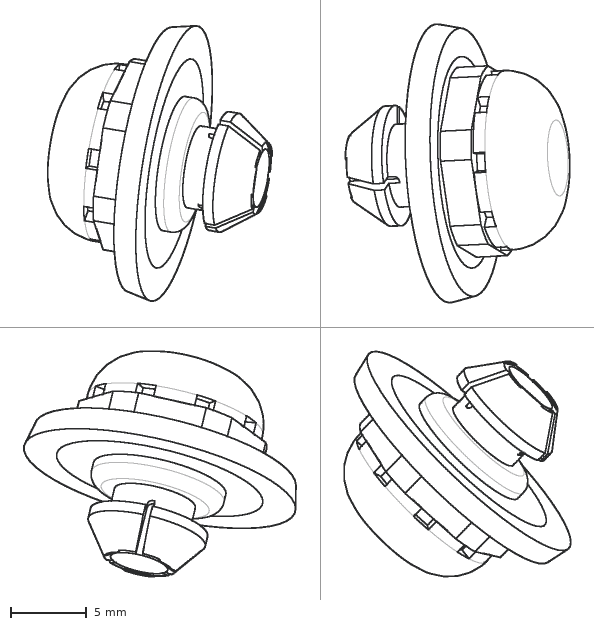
import cadquery as cq
import math


DOME_RIM_X = 3.32
HEX_FRONT_X = 4.11
FLANGE_FRONT_X = 6.24
FLANGE_BACK_X = 7.85
BOSS_END_X = 9.22
SNAP_SHOULDER_X = 10.95
SNAP_CONE_X = 11.65
TIP_X = 13.93

CAP_DIAMETER = 11.88
DOME_FLAT_DIAMETER = 5.02
CAP_CORE_DIAMETER = 10.15
STEM_DIAMETER = 3.9
NOTCH_COUNT = 9
NOTCH_ANGLE = 12.8
FIRST_NOTCH_ANGLE = -91.0

HEX_ACROSS_FLATS = 11.95
HEX_ACROSS_CORNERS = HEX_ACROSS_FLATS / math.cos(math.pi / 6)
HEX_CORNER_DIAMETER = 12.8
FLANGE_DIAMETER = 14.0
BOSS_DIAMETER = 9.0
BOSS_ROUNDING = 0.83

SEAL_FRONT_DIAMETER = 17.75
SEAL_BACK_DIAMETER = 18.45

NECK_DIAMETER = 5.5
SNAP_DIAMETER = 7.97
TIP_DIAMETER = 4.69
SLOT_COUNT = 3
SLOT_WIDTH = 0.46
SLOT_START_X = 10.2
SLOT_CORNER_RADIUS = 0.37
UP_ANGLE = 90.0
FIRST_SLOT_ANGLE = UP_ANGLE
TIP_RECESS_DEPTH = 0.11
TIP_RECESS_INSCRIBED_DIAMETER = 4.28


def section(start_x):
    """Workplane across the axis, with local x along Y, local y along Z and extrusion along +X."""
    return cq.Workplane("YZ", origin=(start_x, 0, 0))


def disc(start_x, end_x, diameter):
    return section(start_x).circle(diameter / 2).extrude(end_x - start_x)


def turn(profile):
    """Revolve an X-Y outline, given as radius over X, about the X axis."""
    return profile.close().revolve(360, (0, 0, 0), (1, 0, 0))


def point_at(radius, angle):
    """Point in the Y-Z plane at an angle in degrees from +Y toward +Z."""
    return (radius * math.cos(math.radians(angle)), radius * math.sin(math.radians(angle)))


def make_cap():
    radius = CAP_DIAMETER / 2
    dome = turn(
        cq.Workplane("XY")
        .lineTo(0, DOME_FLAT_DIAMETER / 2)
        .tangentArcPoint((DOME_RIM_X, radius), relative=False)
        .lineTo(DOME_RIM_X, 0)
    )
    skirt = disc(DOME_RIM_X, HEX_FRONT_X, CAP_DIAMETER)
    for index in range(NOTCH_COUNT):
        skirt = skirt.cut(make_notch(FIRST_NOTCH_ANGLE + index * 360 / NOTCH_COUNT))
    core = disc(DOME_RIM_X, HEX_FRONT_X, CAP_CORE_DIAMETER)
    stem = disc(HEX_FRONT_X, TIP_X - TIP_RECESS_DEPTH, STEM_DIAMETER)
    return dome.union(skirt).union(core).union(stem)


def make_notch(angle):
    """Wedge with radial walls that splits the skirt at one angle."""
    reach = CAP_DIAMETER
    corner_angles = (angle - NOTCH_ANGLE / 2, angle + NOTCH_ANGLE / 2)
    corners = [point_at(reach, corner_angle) for corner_angle in corner_angles]
    return (
        section(DOME_RIM_X)
        .polyline([(0, 0), *corners])
        .close()
        .extrude(HEX_FRONT_X - DOME_RIM_X)
    )


def make_housing():
    hex_length = FLANGE_FRONT_X - HEX_FRONT_X
    hexagon = section(HEX_FRONT_X).polygon(6, HEX_ACROSS_CORNERS).extrude(hex_length)
    hexagon = hexagon.intersect(disc(HEX_FRONT_X, FLANGE_FRONT_X, HEX_CORNER_DIAMETER))
    flange = disc(FLANGE_FRONT_X, FLANGE_BACK_X, FLANGE_DIAMETER)
    boss = disc(FLANGE_BACK_X, BOSS_END_X, BOSS_DIAMETER).faces(">X").edges().fillet(BOSS_ROUNDING)
    bore = disc(HEX_FRONT_X, BOSS_END_X, NECK_DIAMETER)
    return hexagon.union(flange).union(boss).cut(bore)


def make_seal():
    return turn(
        cq.Workplane("XY")
        .moveTo(FLANGE_FRONT_X, FLANGE_DIAMETER / 2)
        .lineTo(FLANGE_FRONT_X, SEAL_FRONT_DIAMETER / 2)
        .lineTo(FLANGE_BACK_X, SEAL_BACK_DIAMETER / 2)
        .lineTo(FLANGE_BACK_X, FLANGE_DIAMETER / 2)
    )


def make_slot(angle):
    """Radial slot through one side of the sleeve, drawn upward along +Z and then turned to its angle."""
    return (
        cq.Workplane("XY")
        .moveTo(TIP_X, SLOT_WIDTH / 2)
        .lineTo(SLOT_START_X, SLOT_WIDTH / 2)
        .lineTo(SLOT_START_X, SLOT_CORNER_RADIUS - SLOT_WIDTH / 2)
        .radiusArc((SLOT_START_X + SLOT_CORNER_RADIUS, -SLOT_WIDTH / 2), -SLOT_CORNER_RADIUS)
        .lineTo(TIP_X, -SLOT_WIDTH / 2)
        .close()
        .extrude(SNAP_DIAMETER)
        .rotate((0, 0, 0), (1, 0, 0), angle - UP_ANGLE)
    )


def make_tip_recess():
    """Shallow triangular recess in the tip, with its corners at the slots."""
    corner_radius = TIP_RECESS_INSCRIBED_DIAMETER
    corner_angles = [FIRST_SLOT_ANGLE + index * 360 / SLOT_COUNT for index in range(SLOT_COUNT)]
    corners = [point_at(corner_radius, corner_angle) for corner_angle in corner_angles]
    return section(TIP_X - TIP_RECESS_DEPTH).polyline(corners).close().extrude(TIP_RECESS_DEPTH)


def make_sleeve():
    sleeve = turn(
        cq.Workplane("XY")
        .moveTo(HEX_FRONT_X, STEM_DIAMETER / 2)
        .lineTo(HEX_FRONT_X, NECK_DIAMETER / 2)
        .lineTo(SNAP_SHOULDER_X, NECK_DIAMETER / 2)
        .lineTo(SNAP_SHOULDER_X, SNAP_DIAMETER / 2)
        .lineTo(SNAP_CONE_X, SNAP_DIAMETER / 2)
        .lineTo(TIP_X, TIP_DIAMETER / 2)
        .lineTo(TIP_X, STEM_DIAMETER / 2)
    )
    for index in range(SLOT_COUNT):
        sleeve = sleeve.cut(make_slot(FIRST_SLOT_ANGLE + index * 360 / SLOT_COUNT))
    return sleeve.cut(make_tip_recess())


cap = make_cap()
housing = make_housing()
seal = make_seal()
sleeve = make_sleeve()

result = cq.Compound.makeCompound([cap.val(), housing.val(), seal.val(), sleeve.val()])